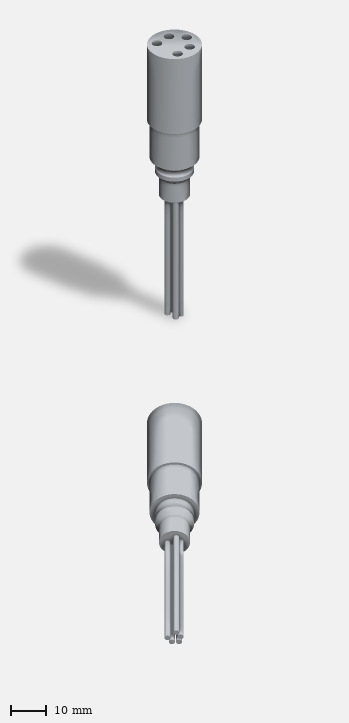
import cadquery as cq

total_height = 90.0
head_diameter = 15.5
sleeve_diameter = 14.0
neck_diameter = 11.0
tail_diameter = 8.7

tail_bottom = 40.0
cone_bottom = 46.3
cone_top = 47.7
sleeve_bottom = 52.5
head_bottom = 65.0

groove_bottom = 49.05
groove_top = 51.2
groove_depth = 0.5

socket_diameter = 3.0
socket_depth = 10.0
side_socket_x = 4.0
socket_positions = [
    (0, 5.0),
    (-side_socket_x, 2.0),
    (-side_socket_x, -3.0),
    (side_socket_x, -3.0),
    (side_socket_x, 2.0),
]
wire_diameter = 1.7
wire_pattern_ratio = 0.4
wire_positions = [(x * wire_pattern_ratio, y * wire_pattern_ratio) for x, y in socket_positions]


def make_body():
    """Revolve the half outline of the head, sleeve, grooved neck and tail."""
    head_radius = head_diameter / 2
    sleeve_radius = sleeve_diameter / 2
    neck_radius = neck_diameter / 2
    tail_radius = tail_diameter / 2
    groove_middle = (neck_radius - groove_depth, (groove_bottom + groove_top) / 2)
    outline = (
        cq.Workplane("XZ")
        .moveTo(0, tail_bottom)
        .lineTo(tail_radius, tail_bottom)
        .lineTo(tail_radius, cone_bottom)
        .lineTo(neck_radius, cone_top)
        .lineTo(neck_radius, groove_bottom)
        .threePointArc(groove_middle, (neck_radius, groove_top))
        .lineTo(neck_radius, sleeve_bottom)
        .lineTo(sleeve_radius, sleeve_bottom)
        .lineTo(sleeve_radius, head_bottom)
        .lineTo(head_radius, head_bottom)
        .lineTo(head_radius, total_height)
        .lineTo(0, total_height)
        .close()
    )
    return outline.revolve(360, (0, 0, 0), (0, 1, 0))


def make_sockets():
    """Blind round holes sunk from the top face."""
    top_face = cq.Workplane("XY").workplane(offset=total_height)
    return top_face.pushPoints(socket_positions).circle(socket_diameter / 2).extrude(-socket_depth)


def make_wires():
    """Straight wires running from their free ends up to the tail."""
    return cq.Workplane("XY").pushPoints(wire_positions).circle(wire_diameter / 2).extrude(tail_bottom)


result = make_body().cut(make_sockets()).union(make_wires())